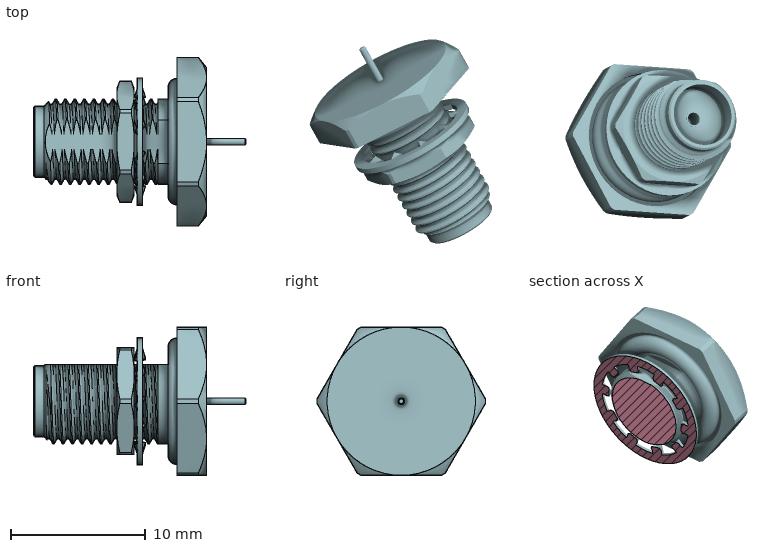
import cadquery as cq
import math


nose_diameter = 5.3
nose_length = 0.79
nose_chamfer = 0.13
neck_diameter = 6.35
thread_diameter = 6.34
thread_start = 0.63
thread_end = 9.22
thread_blank_diameter = 6.78
die_diameter = 7.88
flat_height = 2.73
flat_end = 10.4

pitch = 0.706
thread_depth = 0.38
crest_width = 0.1
flank_angle = 30
first_crest = 1.48
flank_points = 8

socket_diameter = 4.57
socket_floor_diameter = 4.45
socket_depth = 1.89
socket_taper_length = 0.24
contact_diameter = 1.2
contact_hole_diameter = 0.95
contact_height = 0.03
contact_hole_depth = 1.89

flange_start = 10.64
flange_end = 12.85
flange_across_flats = 11.0
flange_corner_diameter = 12.51
flange_chamfer_length = 0.61
seal_groove_diameter = 10.02

tail_diameter = 0.5
tail_end = 15.76
tail_chamfer = 0.08

ring_outer_diameter = 9.4
ring_section_radius = 0.66

nut_start = 6.18
nut_end = 7.47
nut_across_flats = 7.95
nut_corner_diameter = 9.0
nut_chamfer_length = 0.22

washer_diameter = 9.45
washer_bore = 7.88
washer_thickness = 0.41
tooth_count = 10
tooth_width = 0.95
tooth_twist = 31.6
tooth_root_radius = 3.99
tooth_root_thickness = 0.4
tooth_tip_radius = 3.3
tooth_phase = 1.0


def cylinder(diameter, start, end):
    """Solid cylinder along X between two x positions."""
    return cq.Workplane("YZ").workplane(offset=start).circle(diameter / 2).extrude(end - start)


def revolve_x(points):
    """Solid of revolution about X from an outline of (x, radius) points."""
    return cq.Workplane("XY").polyline(points).close().revolve(360, (0, 0, 0), (1, 0, 0))


def hexagon(across_flats, start, end):
    """Hexagonal prism along X with a flat side facing +Z."""
    corner_to_corner = across_flats / math.cos(math.radians(30))
    return cq.Workplane("YZ").workplane(offset=start).polygon(6, corner_to_corner).extrude(end - start)


def make_threaded_rod(start, end):
    """Single-start right-hand threaded rod along X between two x positions.

    A cut square to the axis runs round a crest arc, down one flank, round a root arc and up the
    other flank. Turning that outline once per pitch along X makes the helical thread.
    """
    crest_radius = thread_diameter / 2
    root_radius = crest_radius - thread_depth
    turn_per_length = 2 * math.pi / pitch
    crest_turn = crest_width * turn_per_length
    flank_turn = thread_depth * math.tan(math.radians(flank_angle)) * turn_per_length
    crest_direction = -math.pi / 2 + (start - first_crest) * turn_per_length

    def point(radius, turn):
        angle = crest_direction + turn
        return (radius * math.cos(angle), radius * math.sin(angle))

    def flank(start_radius, end_radius, start_turn):
        steps = [(index + 1) / flank_points for index in range(flank_points)]
        return [
            point(start_radius + step * (end_radius - start_radius), start_turn + step * flank_turn)
            for step in steps
        ]

    crest_edge = crest_turn / 2
    root_edge = crest_edge + flank_turn
    section = (
        cq.Workplane("YZ")
        .workplane(offset=start)
        .moveTo(*point(crest_radius, -crest_edge))
        .threePointArc(point(crest_radius, 0), point(crest_radius, crest_edge))
        .spline(flank(crest_radius, root_radius, crest_edge), includeCurrent=True)
        .threePointArc(point(root_radius, math.pi), point(root_radius, -root_edge))
        .spline(flank(root_radius, crest_radius, -root_edge), includeCurrent=True)
        .close()
    )
    length = end - start
    return section.twistExtrude(length, math.degrees(length * turn_per_length))


def make_blank_shaft():
    """Round shaft from the nose to the flange, left oversize where the thread is cut."""
    nose_radius = nose_diameter / 2
    neck_radius = neck_diameter / 2
    blank_radius = thread_blank_diameter / 2
    return revolve_x([
        (0, 0),
        (0, nose_radius - nose_chamfer),
        (nose_chamfer, nose_radius),
        (nose_length, nose_radius),
        (nose_length + blank_radius - nose_radius, blank_radius),
        (thread_end, blank_radius),
        (thread_end, neck_radius),
        (flange_end, neck_radius),
        (flange_end, 0),
    ])


def make_thread_die():
    """Tube whose bore is the thread: cutting it away leaves the thread on the shaft."""
    tube = cylinder(die_diameter, thread_start, thread_end)
    return tube.cut(make_threaded_rod(thread_start, thread_end), clean=False)


def make_flat_cutter():
    """Block above the flat that runs along the top of the shaft."""
    return (
        cq.Workplane("XY")
        .workplane(offset=flat_height)
        .rect(2 * flat_end, die_diameter)
        .extrude(die_diameter)
    )


def make_flange():
    """Hexagonal flange, chamfered on its rear face, with the seal groove in its front face."""
    corner_radius = flange_corner_diameter / 2
    turning = revolve_x([
        (flange_start, 0),
        (flange_start, corner_radius),
        (flange_end - flange_chamfer_length, corner_radius),
        (flange_end, flange_across_flats / 2),
        (flange_end, 0),
    ])
    groove_end = flange_start + ring_section_radius
    groove = cylinder(seal_groove_diameter, flange_start, groove_end)
    return hexagon(flange_across_flats, flange_start, flange_end).intersect(turning).cut(groove)


def make_socket():
    """Socket cavity in the nose, tapered at its floor round the raised contact and its hole."""
    cavity = revolve_x([
        (0, 0),
        (0, socket_diameter / 2),
        (socket_depth - socket_taper_length, socket_diameter / 2),
        (socket_depth, socket_floor_diameter / 2),
        (socket_depth, 0),
    ])
    contact_start = socket_depth - contact_height
    contact = cylinder(contact_diameter, contact_start, socket_depth)
    contact_hole = cylinder(contact_hole_diameter, contact_start, contact_start + contact_hole_depth)
    return cavity.cut(contact).union(contact_hole)


def make_housing():
    """Threaded body with socket, flange, seal groove and tail pin."""
    tail = cylinder(tail_diameter, flange_end, tail_end).faces(">X").chamfer(tail_chamfer)
    blank = make_blank_shaft().union(make_flange()).union(tail).cut(make_socket())
    return blank.cut(make_thread_die(), clean=False).cut(make_flat_cutter(), clean=False)


def make_nut():
    """Hexagonal nut, chamfered on both faces, with a thread that fits the rod."""
    corner_radius = nut_corner_diameter / 2
    face_radius = nut_across_flats / 2
    turning = revolve_x([
        (nut_start, 0),
        (nut_start, face_radius),
        (nut_start + nut_chamfer_length, corner_radius),
        (nut_end - nut_chamfer_length, corner_radius),
        (nut_end, face_radius),
        (nut_end, 0),
    ])
    blank = hexagon(nut_across_flats, nut_start, nut_end).intersect(turning)
    return blank.cut(make_threaded_rod(nut_start, nut_end))


def make_tooth():
    """Washer tooth centred on x = 0, pointing inward from -Y and twisting towards its tip."""
    return (
        cq.Workplane("XZ", origin=(0, -tooth_root_radius, 0))
        .rect(tooth_root_thickness, tooth_width)
        .workplane(offset=tooth_tip_radius - tooth_root_radius)
        .transformed(rotate=(0, 0, -tooth_twist))
        .rect(washer_thickness, tooth_width)
        .loft(ruled=True)
    )


def make_washer():
    """Lock washer whose twisted inner teeth bear on the nut."""
    twist = math.radians(tooth_twist)
    tooth_reach = (tooth_width * math.sin(twist) + washer_thickness * math.cos(twist)) / 2
    half = washer_thickness / 2
    washer = cylinder(washer_diameter, -half, half).cut(cylinder(washer_bore, -half, half))
    tooth = make_tooth()
    for index in range(tooth_count):
        angle = tooth_phase + index * 360 / tooth_count
        washer = washer.union(tooth.rotate((0, 0, 0), (1, 0, 0), angle))
    return washer.translate((nut_end + tooth_reach, 0, 0))


def make_sealing_ring():
    """Round-section ring resting on the floor of the seal groove."""
    centre_radius = ring_outer_diameter / 2 - ring_section_radius
    return (
        cq.Workplane("XY")
        .center(flange_start, centre_radius)
        .circle(ring_section_radius)
        .revolve(360, (0, -centre_radius, 0), (1, -centre_radius, 0))
    )


housing = make_housing()
nut = make_nut()
washer = make_washer()
sealing_ring = make_sealing_ring()

result = cq.Compound.makeCompound([housing.val(), nut.val(), washer.val(), sealing_ring.val()])